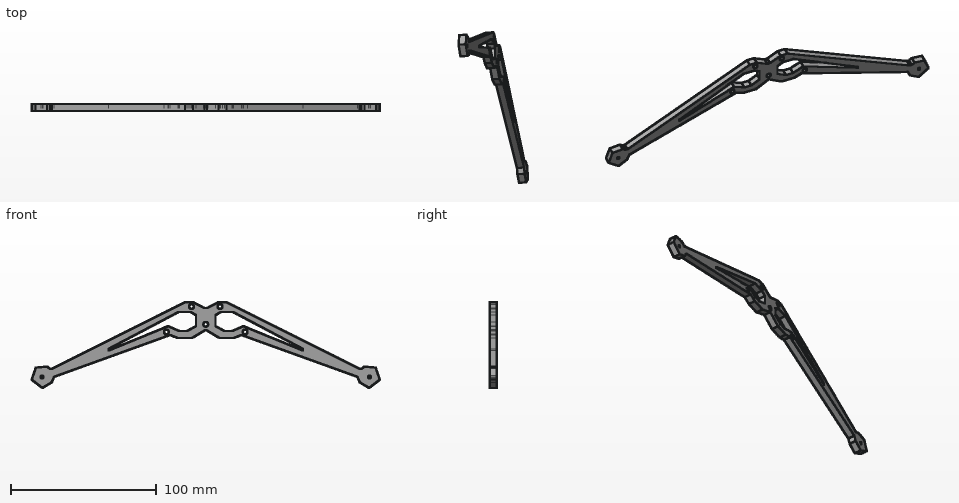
import cadquery as cq

half_span = 119.7
height = 59.1
thickness = 5.0

top_notch_z = 55.0
top_notch_half_width = 1.0
bottom_notch_z = 40.0
belly_z = 34.2

window_top_z = 52.2
window_bottom_z = 39.3
window_inner_x = 6.7
window_tip_x = 66.8

mount_hole_diameter = 3.0
tip_hole_diameter = 1.7
tip_hole = (112.5, 7.7)
upper_hole = (9.8, 56.0)
lower_hole = (27.0, 38.5)
centre_hole = (0, 43.8)

half_outline = [
    (0, top_notch_z),
    (top_notch_half_width, top_notch_z),
    (8.9, height),
    (14.1, height),
    (105.5, 13.5),
    (107.0, 13.5),
    (109.2, 14.8),
    (116.8, 14.1),
    (half_span, 5.7),
    (112.3, 0),
    (105.8, 3.8),
    (104.2, 7.7),
    (24.5, 36.5),
    (19.2, belly_z),
    (9.5, belly_z),
    (0, bottom_notch_z),
]

window_outline = [
    (18.7, window_top_z),
    (10.3, window_top_z),
    (window_inner_x, 50.0),
    (window_inner_x, 42.5),
    (13.0, window_bottom_z),
    (18.2, window_bottom_z),
    (25.9, 42.5),
    (window_tip_x, 25.9),
    (window_tip_x, 26.8),
]


def plate(points):
    """Closed polygon in XZ, extruded through the plate thickness."""
    return cq.Workplane("XZ").polyline(points).close().extrude(thickness / 2, both=True)


def pins(centres, diameter):
    """Round cutters through the plate thickness."""
    return cq.Workplane("XZ").pushPoints(centres).circle(diameter / 2).extrude(thickness, both=True)


arm = plate(half_outline).cut(plate(window_outline))
arm = arm.cut(pins([upper_hole, lower_hole], mount_hole_diameter))
arm = arm.cut(pins([tip_hole], tip_hole_diameter))

result = arm.union(arm.mirror("YZ")).clean()
result = result.cut(pins([centre_hole], mount_hole_diameter))